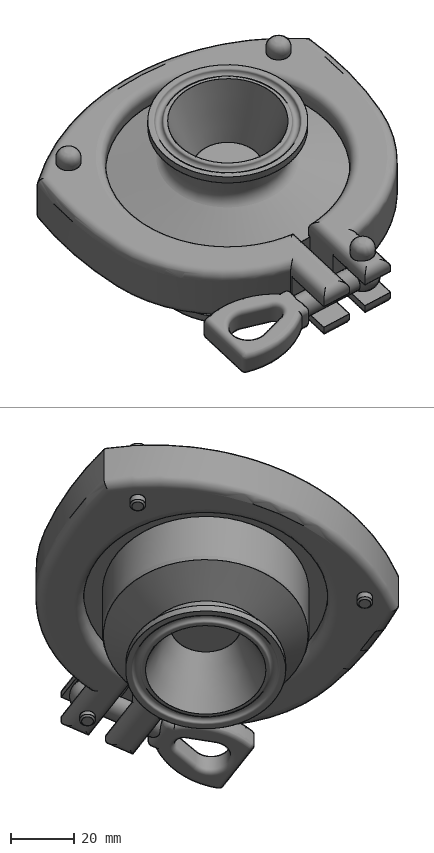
import cadquery as cq
import math


top_z = 25.7
bottom_z = -39.3
ferrule_radius = 25.3
ferrule_rim = 2.7
ferrule_taper = 1.9
taper_end_radius = 20.8
neck_radius = 20.0
neck_blend = 1.3
neck_foot_radius = 22.5
neck_foot_top_z = 13.3
neck_foot_z = 9.3
bonnet_radius = 39.3
bonnet_edge_z = 3.2
body_radius = 32.7
body_edge_z = -21.6
body_cone_top_radius = 32.4
body_cone_top_z = -22.9
body_cone_end_radius = 20.5
body_cone_end_z = -29.3
lower_neck_start_z = -31.0

cup_radius = 19.0
cup_floor_radius = 11.3
cup_depth = 20.6
groove_center_radius = 21.8
groove_radius = 1.3
groove_edge_blend = 0.6

clamp_half_height = 9.6
clamp_bore_radius = 38.7
clamp_edge_fillet = 3.0
clamp_left_x = -49.1
clamp_corner = (-28.6, 53.9)
clamp_width = 109.9
clamp_crest = (-12.8, clamp_width / 2)
clamp_side_radius = 121.2
clamp_joint_x = 11.0
ear_outer_y = 13.2
ear_inner_y = 3.0
ear_start_x = 50.7
ear_end_x = 68.1
ear_slot_start_x = 51.3
ear_slot_half_height = 4.6

pin_diameter = 5.0
pin_head_diameter = 8.0
pin_head_top_z = 14.4
pin_head_shoulder_z = 11.4
pin_head_flat_radius = 1.2
pin_tip_chamfer = 0.6
hinge_pin_x = -28.6
hinge_pin_y = 41.6
hinge_pin_bottom_z = -12.5
bolt_x = 59.9
bolt_pin_y = 8.4
bolt_pin_bottom_z = -11.8

bolt_diameter = 8.0
bolt_eye_radius = 5.7
nut_half_height = 4.2
nut_corner_radius = 1.5
nut_top_y = -16.7
nut_collar_length = 3.4
nut_widest_half_width = 12.2
nut_widest_y = -37.6
nut_side_radius = 27.3
nut_bottom_y = -46.9
nut_edge_fillet = 1.9
window_big_radius = 6.0
window_big_y = -37.0
window_small_radius = 2.9
window_small_y = -26.9
window_edge_fillet = 1.7


def turned_body():
    """Solid of revolution for both ferrules, the bonnet and the lower body."""
    top_rim_z = top_z - ferrule_rim
    top_taper_z = top_rim_z - ferrule_taper
    bottom_rim_z = bottom_z + ferrule_rim
    bottom_taper_z = bottom_rim_z + ferrule_taper
    foot_radius = neck_foot_arc_radius()
    foot_mid_angle = 0.5 * math.asin((neck_foot_top_z - neck_foot_z) / foot_radius)
    foot_mid = (
        neck_radius + foot_radius * (1 - math.cos(foot_mid_angle)),
        neck_foot_top_z - foot_radius * math.sin(foot_mid_angle),
    )
    profile = (
        cq.Workplane("XZ")
        .moveTo(0, bottom_z)
        .lineTo(ferrule_radius, bottom_z)
        .lineTo(ferrule_radius, bottom_rim_z)
        .lineTo(taper_end_radius, bottom_taper_z)
        .lineTo(neck_radius, bottom_taper_z + neck_blend)
        .lineTo(neck_radius, lower_neck_start_z)
        .lineTo(body_cone_end_radius, body_cone_end_z)
        .lineTo(body_cone_top_radius, body_cone_top_z)
        .lineTo(body_radius, body_edge_z)
        .lineTo(body_radius, -bonnet_edge_z)
        .lineTo(bonnet_radius, -bonnet_edge_z)
        .lineTo(bonnet_radius, bonnet_edge_z)
        .lineTo(neck_foot_radius, neck_foot_z)
        .threePointArc(foot_mid, (neck_radius, neck_foot_top_z))
        .lineTo(neck_radius, top_taper_z - neck_blend)
        .lineTo(taper_end_radius, top_taper_z)
        .lineTo(ferrule_radius, top_rim_z)
        .lineTo(ferrule_radius, top_z)
        .lineTo(0, top_z)
        .close()
    )
    return profile.revolve(360, (0, 0), (0, 1))


def neck_foot_arc_radius():
    """Radius of an arc tangent to the neck that ends at the foot of the neck."""
    run = neck_foot_radius - neck_radius
    drop = neck_foot_top_z - neck_foot_z
    return (run**2 + drop**2) / (2 * run)


def face_recess():
    """Tapered cup and round gasket groove, cut down from a face at Z = 0."""
    cup = (
        cq.Workplane("XZ")
        .lineTo(cup_radius, 0)
        .lineTo(cup_floor_radius, -cup_depth)
        .lineTo(0, -cup_depth)
        .close()
        .revolve(360, (0, 0), (0, 1))
    )
    return cup.union(gasket_groove())


def gasket_groove():
    """Ring cutter of round section whose edges flare tangentially into the face."""
    reach = groove_radius + groove_edge_blend
    edge_x = math.sqrt(reach**2 - groove_edge_blend**2)
    tangent_x = edge_x * groove_radius / reach
    tangent_z = -groove_edge_blend * groove_radius / reach
    blend_mid_angle = 0.5 * math.acos(groove_edge_blend / reach)
    blend_mid_x = edge_x - groove_edge_blend * math.sin(blend_mid_angle)
    blend_mid_z = -groove_edge_blend * (1 - math.cos(blend_mid_angle))
    return (
        cq.Workplane("XZ")
        .center(groove_center_radius, 0)
        .moveTo(-edge_x, 0)
        .threePointArc((-blend_mid_x, blend_mid_z), (-tangent_x, tangent_z))
        .threePointArc((0, -groove_radius), (tangent_x, tangent_z))
        .threePointArc((blend_mid_x, blend_mid_z), (edge_x, 0))
        .close()
        .revolve(360, (-groove_center_radius, 0), (-groove_center_radius, 1))
    )


def clamp_outline():
    """Outer outline of the clamp with a slit between the ears."""
    corner_x, corner_y = clamp_corner
    crest_x, crest_y = clamp_crest
    side_center_y = crest_y - clamp_side_radius
    joint_offset = clamp_joint_x - crest_x
    joint_rise = math.sqrt(clamp_side_radius**2 - joint_offset**2)
    joint_y = side_center_y + joint_rise
    mid_x, mid_y = shoulder_mid(joint_y, joint_rise, joint_offset)
    return (
        cq.Workplane("XY")
        .workplane(offset=-clamp_half_height)
        .moveTo(ear_end_x, ear_inner_y)
        .lineTo(ear_end_x, ear_outer_y)
        .lineTo(ear_start_x, ear_outer_y)
        .threePointArc((mid_x, mid_y), (clamp_joint_x, joint_y))
        .threePointArc(clamp_crest, clamp_corner)
        .threePointArc((clamp_left_x, 0), (corner_x, -corner_y))
        .threePointArc((crest_x, -crest_y), (clamp_joint_x, -joint_y))
        .threePointArc((mid_x, -mid_y), (ear_start_x, -ear_outer_y))
        .lineTo(ear_end_x, -ear_outer_y)
        .lineTo(ear_end_x, -ear_inner_y)
        .lineTo(0, -ear_inner_y)
        .lineTo(0, ear_inner_y)
        .close()
    )


def shoulder_mid(joint_y, joint_rise, joint_offset):
    """Middle of the arc that runs on tangentially from the clamp side to the ear."""
    normal_x = joint_offset / clamp_side_radius
    normal_y = joint_rise / clamp_side_radius
    chord_x = ear_start_x - clamp_joint_x
    chord_y = ear_outer_y - joint_y
    chord = math.hypot(chord_x, chord_y)
    radius = -(chord**2) / (2 * (chord_x * normal_x + chord_y * normal_y))
    center_x = clamp_joint_x - radius * normal_x
    center_y = joint_y - radius * normal_y
    return (center_x - radius * chord_y / chord, center_y + radius * chord_x / chord)


def clamp():
    """Hinged clamp ring with rounded edges and a bolt slot through both ears."""
    height = 2 * clamp_half_height
    ring = clamp_outline().extrude(height)
    bore = (
        cq.Workplane("XY")
        .workplane(offset=-clamp_half_height)
        .circle(clamp_bore_radius)
        .extrude(height)
    )
    ring = ring.cut(bore).faces("|Z").edges().fillet(clamp_edge_fillet)
    slot_length = ear_end_x - ear_slot_start_x
    slot = cq.Workplane("XY").box(
        slot_length, 2 * ear_outer_y, 2 * ear_slot_half_height, centered=(False, True, True)
    )
    return ring.cut(slot.translate((ear_slot_start_x, 0, 0)))


def pin(x, y, bottom_z):
    """Pin with a domed head and a chamfered tip."""
    head_radius = pin_head_diameter / 2
    bulge = math.sqrt(0.5)
    dome_mid = (
        pin_head_flat_radius + (head_radius - pin_head_flat_radius) * bulge,
        pin_head_shoulder_z + (pin_head_top_z - pin_head_shoulder_z) * bulge,
    )
    head = (
        cq.Workplane("XZ")
        .lineTo(head_radius, 0)
        .lineTo(head_radius, pin_head_shoulder_z)
        .threePointArc(dome_mid, (pin_head_flat_radius, pin_head_top_z))
        .lineTo(0, pin_head_top_z)
        .close()
        .revolve(360, (0, 0), (0, 1))
    )
    shank = (
        cq.Workplane("XY")
        .circle(pin_diameter / 2)
        .extrude(bottom_z)
        .faces("<Z")
        .chamfer(pin_tip_chamfer)
    )
    return head.union(shank).translate((x, y, 0))


def eye_bolt():
    """Round bolt along -Y from a ball eye whose poles are flattened to the ear slot."""
    slot_height = 2 * ear_slot_half_height
    eye_width = 2 * bolt_eye_radius
    eye = cq.Workplane("XY").sphere(bolt_eye_radius)
    eye = eye.intersect(cq.Workplane("XY").box(eye_width, eye_width, slot_height))
    rod_length = bolt_pin_y - nut_top_y + nut_collar_length
    rod = cq.Workplane("XZ").circle(bolt_diameter / 2).extrude(rod_length)
    return eye.union(rod).translate((bolt_x, bolt_pin_y, 0))


def window_outline():
    """Teardrop made of two circles and their common tangents."""
    spread = window_small_y - window_big_y
    tilt = math.asin((window_big_radius - window_small_radius) / spread)
    big_x = window_big_radius * math.cos(tilt)
    big_tangent_y = window_big_y + window_big_radius * math.sin(tilt)
    small_x = window_small_radius * math.cos(tilt)
    small_tangent_y = window_small_y + window_small_radius * math.sin(tilt)
    return (
        cq.Workplane("XY")
        .workplane(offset=-nut_half_height)
        .moveTo(big_x, big_tangent_y)
        .lineTo(small_x, small_tangent_y)
        .threePointArc((0, window_small_y + window_small_radius), (-small_x, small_tangent_y))
        .lineTo(-big_x, big_tangent_y)
        .threePointArc((0, window_big_y - window_big_radius), (big_x, big_tangent_y))
        .close()
    )


def nut_half_width(y):
    """Half width of the wing's arc-shaped sides at a given Y."""
    side_center_x = nut_widest_half_width - nut_side_radius
    return side_center_x + math.sqrt(nut_side_radius**2 - (y - nut_widest_y) ** 2)


def wing_nut():
    """Egg-shaped wing with a teardrop window, topped by a rounded collar."""
    height = 2 * nut_half_height
    collar_end_y = nut_top_y - nut_collar_length
    shoulder_x = nut_half_width(collar_end_y)
    bottom_x = nut_half_width(nut_bottom_y)
    wing = (
        cq.Workplane("XY")
        .workplane(offset=-nut_half_height)
        .moveTo(shoulder_x, nut_top_y)
        .lineTo(shoulder_x, collar_end_y)
        .threePointArc((nut_widest_half_width, nut_widest_y), (bottom_x, nut_bottom_y))
        .lineTo(-bottom_x, nut_bottom_y)
        .threePointArc((-nut_widest_half_width, nut_widest_y), (-shoulder_x, collar_end_y))
        .lineTo(-shoulder_x, nut_top_y)
        .close()
        .extrude(height)
    )
    wing = wing.edges("|Z and (>Y or <Y)").fillet(nut_corner_radius)
    wing = wing.faces("|Z").edges().fillet(nut_edge_fillet)
    window_zone = cq.selectors.BoxSelector(
        (-window_big_radius, nut_bottom_y + nut_edge_fillet, -height),
        (window_big_radius, collar_end_y - nut_edge_fillet, height),
    )
    wing = wing.cut(window_outline().extrude(height))
    wing = wing.faces("|Z").edges(window_zone).fillet(window_edge_fillet)
    return wing.translate((bolt_x, 0, 0))


def valve_body():
    """Turned body with a recess in both ferrule faces."""
    recess = face_recess()
    body = turned_body().cut(recess.translate((0, 0, top_z)))
    return body.cut(recess.rotate((0, 0, 0), (1, 0, 0), 180).translate((0, 0, bottom_z)))


result = (
    valve_body()
    .union(clamp())
    .union(eye_bolt())
    .union(wing_nut())
    .union(pin(hinge_pin_x, hinge_pin_y, hinge_pin_bottom_z))
    .union(pin(hinge_pin_x, -hinge_pin_y, hinge_pin_bottom_z))
    .union(pin(bolt_x, bolt_pin_y, bolt_pin_bottom_z))
)